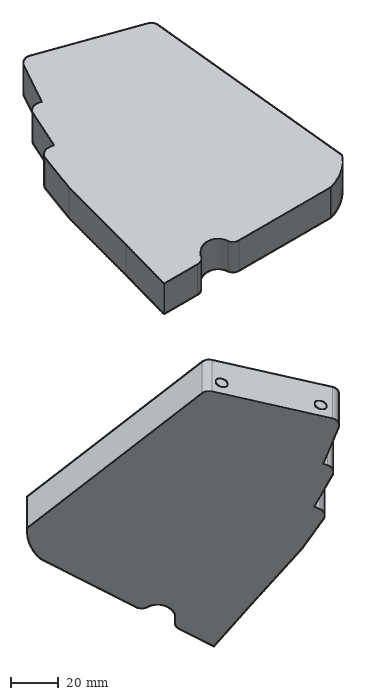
import cadquery as cq
import math

thickness = 20.0
edge_round = 4.2

lower_left = (-0.8, 19.5)
step_one_inner = (24.0, 14.8)
step_one_outer = (23.3, 8.7)
step_two_inner = (46.5, 6.7)
step_two_outer = (46.5, 0.0)
base_end = (69.3, 0.0)
base_bend = (107.9, 3.9)
tip = (134.5, 6.3)
nose_start = (126.8, 93.0)
nose_end = (114.5, 106.2)
upper_left = (11.6, 77.2)
nose_radius = 23.8

notch_radius = 7.4
notch_height = 34.5

recess_diameter = 5.2
recess_depth = 0.07
recess_z = 6.9
recess_heights = (28.5, 70.6)


def point_on_line(start, end, y):
    """Point at the given Y on the straight line through start and end."""
    share = (y - start[1]) / (end[1] - start[1])
    return (start[0] + share * (end[0] - start[0]), y)


def round_corners(body, corners):
    """Round the vertical edges of body that stand on the given XY corners."""
    for x, y in corners:
        edge = cq.selectors.NearestToPointSelector((x, y, thickness / 2))
        body = body.edges("|Z").edges(edge).fillet(edge_round)
    return body


def make_plate():
    """Stepped plate with its corners rounded, before the notch and recesses."""
    outline = (
        cq.Workplane("XY")
        .moveTo(*lower_left)
        .lineTo(*step_one_inner)
        .lineTo(*step_one_outer)
        .lineTo(*step_two_inner)
        .lineTo(*step_two_outer)
        .lineTo(*base_end)
        .lineTo(*base_bend)
        .lineTo(*tip)
        .lineTo(*nose_start)
        .radiusArc(nose_end, -nose_radius)
        .lineTo(*upper_left)
        .close()
    )
    plate = outline.extrude(thickness)
    return round_corners(plate, [lower_left, step_one_outer, step_two_outer, upper_left])


def cut_notch(body):
    """Cut the round notch and round both lips where it meets the right edge."""
    centre = point_on_line(tip, nose_start, notch_height)
    notch = cq.Workplane("XY").center(*centre).circle(notch_radius).extrude(thickness)
    edge_length = math.dist(tip, nose_start)
    along_x = (nose_start[0] - tip[0]) / edge_length
    along_y = (nose_start[1] - tip[1]) / edge_length
    lips = [
        (centre[0] + side * notch_radius * along_x, centre[1] + side * notch_radius * along_y)
        for side in (-1, 1)
    ]
    return round_corners(body.cut(notch), lips)


def make_recess(y):
    """Cutter for one recess, entering the left edge at the given Y."""
    x, _ = point_on_line(lower_left, upper_left, y)
    edge_x = upper_left[0] - lower_left[0]
    edge_y = upper_left[1] - lower_left[1]
    inward = cq.Vector(edge_y, -edge_x, 0)
    mouth = cq.Vector(x, y, recess_z)
    return cq.Solid.makeCylinder(recess_diameter / 2, recess_depth, mouth, inward)


result = cut_notch(make_plate())
for recess_height in recess_heights:
    result = result.cut(cq.Workplane(make_recess(recess_height)))